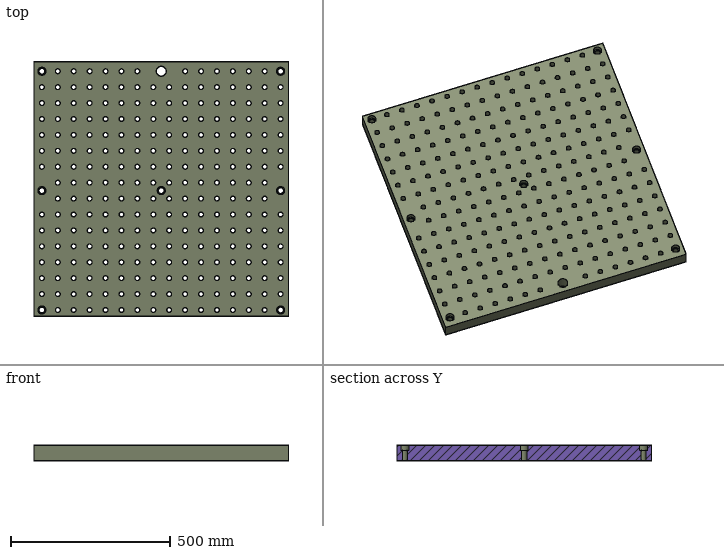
import cadquery as cq

plate_side = 800.0
holes_per_side = 16
hole_pitch = plate_side / holes_per_side
plate_thickness = hole_pitch

front_margin = 20.0
pattern_span = (holes_per_side - 1) * hole_pitch
pattern_half = pattern_span / 2
pattern_center_y = -plate_side / 2 + front_margin + pattern_half

grid_hole_diameter = 14.0
bolt_hole_diameter = 18.0
counterbore_diameter = 26.0
locating_hole_diameter = 30.0

counterbore_depth = 17.0

first = 0
last = holes_per_side - 1
middle_pair = (holes_per_side // 2 - 1, holes_per_side // 2)


def is_grid_hole(column, row):
    """Leave out the grid holes that would crowd a bolt hole or the locating hole."""
    at_side = column in (first, last)
    is_corner = at_side and row in (first, last)
    beside_side_bolt = at_side and row in middle_pair
    beside_locating_hole = row == last and column in middle_pair
    return not (is_corner or beside_side_bolt or beside_locating_hole)


grid_points = [
    (column * hole_pitch - pattern_half, row * hole_pitch - pattern_half)
    for column in range(holes_per_side)
    for row in range(holes_per_side)
    if is_grid_hole(column, row)
]

bolt_points = [(x, y) for x in (-pattern_half, pattern_half) for y in (-pattern_half, 0, pattern_half)]
bolt_points.append((0, 0))

locating_point = (0, pattern_half)


result = (
    cq.Workplane("XY")
    .rect(plate_side, plate_side)
    .center(0, pattern_center_y)
    .pushPoints(grid_points)
    .circle(grid_hole_diameter / 2)
    .extrude(plate_thickness)
)

top_plane = result.faces(">Z").workplane(origin=(0, pattern_center_y, plate_thickness))

result = top_plane.pushPoints(bolt_points).cboreHole(
    bolt_hole_diameter, counterbore_diameter, counterbore_depth
)

locating_hole = (
    cq.Workplane("XY")
    .center(0, pattern_center_y)
    .pushPoints([locating_point])
    .circle(locating_hole_diameter / 2)
    .extrude(plate_thickness)
)
result = result.cut(locating_hole)